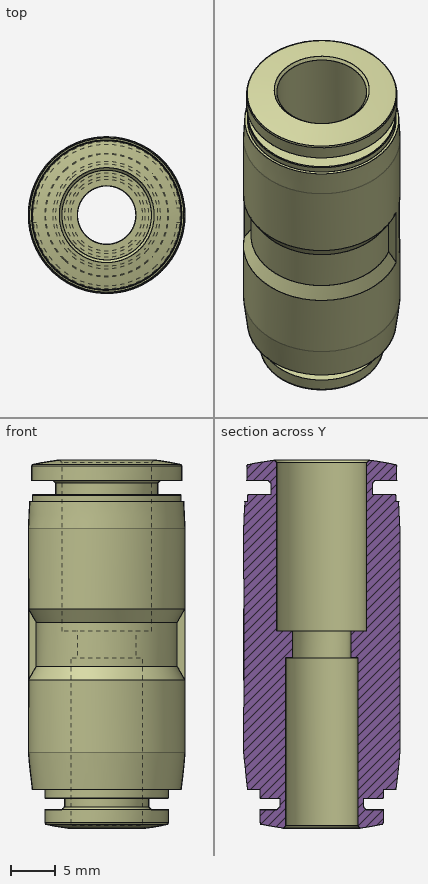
import cadquery as cq


housing_radius = 17.5 / 2
cylinder_top = 12.95
cylinder_bottom = -12.05
sleeve_radius = 17.2 / 2
sleeve_top = 15.95
cap_radius = 16.62 / 2
cap_top = 16.72
tail_radius = 16.62 / 2
tail_bottom = -16.2
tail_mid_radius = 17.13 / 2
tail_mid_height = (cylinder_bottom + tail_bottom) / 2
tail_ring_radius = 13.8 / 2
tail_ring_bottom = -17.2
edge_chamfer = 0.09

groove_radius = 15.8 / 2
groove_height = 7.9
groove_floor_height = 4.9
rib_width = 1.6
groove_cutter_clearance = 1.0

overall_length = 41.1
upper_end = 20.58
lower_end = upper_end - overall_length
neck_flare = 0.3

upper_flange_radius = 16.8 / 2
upper_neck_radius = 11.4 / 2
upper_flange_depth = 2.3
upper_crown_drop = 0.52
upper_mouth_radius = 10.6 / 2

lower_flange_radius = 13.8 / 2
lower_neck_radius = 9.4 / 2
lower_flange_depth = 2.1
lower_crown_drop = 0.45
lower_mouth_radius = 8.6 / 2

crown_bulge = 0.04

upper_tube_radius = 10.0 / 2
lower_tube_radius = 8.0 / 2
passage_radius = 6.5 / 2
stop_wall_half = 1.5


def revolve_outline(outline):
    """Close an XZ half outline and turn it about the Z axis."""
    return outline.close().revolve(360, (0, 0, 0), (0, 1, 0))


def make_housing():
    outline = (
        cq.Workplane("XZ")
        .moveTo(0, tail_ring_bottom)
        .lineTo(tail_ring_radius - edge_chamfer, tail_ring_bottom)
        .lineTo(tail_ring_radius, tail_ring_bottom + edge_chamfer)
        .lineTo(tail_ring_radius, tail_bottom)
        .lineTo(tail_radius, tail_bottom)
        .threePointArc((tail_mid_radius, tail_mid_height), (housing_radius, cylinder_bottom))
        .lineTo(housing_radius, cylinder_top)
        .lineTo(sleeve_radius, sleeve_top)
        .lineTo(cap_radius, sleeve_top)
        .lineTo(cap_radius, cap_top - edge_chamfer)
        .lineTo(cap_radius - edge_chamfer, cap_top)
        .lineTo(0, cap_top)
    )
    return revolve_outline(outline)


def make_groove_cutter():
    """Ring with sloped flanks, split by the two ribs on the X axis."""
    cutter_radius = housing_radius + groove_cutter_clearance
    outer_half = groove_height / 2
    floor_half = groove_floor_height / 2
    outline = (
        cq.Workplane("XZ")
        .moveTo(groove_radius, -floor_half)
        .lineTo(housing_radius, -outer_half)
        .lineTo(cutter_radius, -outer_half)
        .lineTo(cutter_radius, outer_half)
        .lineTo(housing_radius, outer_half)
        .lineTo(groove_radius, floor_half)
    )
    ribs = cq.Workplane("XY").box(2 * cutter_radius, rib_width, groove_height)
    return revolve_outline(outline).cut(ribs)


def make_collet(end, direction, flange_radius, neck_radius, flange_depth, crown_drop, mouth_radius):
    """Flanged collet whose end face looks along direction (+1 up, -1 down)."""

    def inward(distance):
        return end - direction * distance

    rim_radius = flange_radius - edge_chamfer
    crown_mid = ((mouth_radius + rim_radius) / 2, inward(crown_drop / 2 - crown_bulge))
    outline = (
        cq.Workplane("XZ")
        .moveTo(0, inward(0))
        .lineTo(mouth_radius, inward(0))
        .threePointArc(crown_mid, (rim_radius, inward(crown_drop)))
        .lineTo(flange_radius, inward(crown_drop + 2 * edge_chamfer))
        .lineTo(flange_radius, inward(flange_depth))
        .lineTo(neck_radius + neck_flare, inward(flange_depth))
        .lineTo(neck_radius, inward(flange_depth + neck_flare))
        .lineTo(neck_radius, 0)
        .lineTo(0, 0)
    )
    return revolve_outline(outline)


def make_socket(end, direction, tube_radius, mouth_radius):
    """Tube socket with a chamfered mouth, ending at the stop wall."""
    mouth_chamfer = mouth_radius - tube_radius
    stop = direction * stop_wall_half
    outline = (
        cq.Workplane("XZ")
        .moveTo(0, stop)
        .lineTo(tube_radius, stop)
        .lineTo(tube_radius, end - direction * mouth_chamfer)
        .lineTo(mouth_radius, end)
        .lineTo(0, end)
    )
    return revolve_outline(outline)


def make_passage():
    return cq.Workplane("XY").circle(passage_radius).extrude(overall_length, both=True)


upper_collet = make_collet(
    upper_end, 1, upper_flange_radius, upper_neck_radius,
    upper_flange_depth, upper_crown_drop, upper_mouth_radius,
)
lower_collet = make_collet(
    lower_end, -1, lower_flange_radius, lower_neck_radius,
    lower_flange_depth, lower_crown_drop, lower_mouth_radius,
)

body = make_housing().cut(make_groove_cutter())
body = body.union(upper_collet).union(lower_collet)
body = body.cut(make_socket(upper_end, 1, upper_tube_radius, upper_mouth_radius))
body = body.cut(make_socket(lower_end, -1, lower_tube_radius, lower_mouth_radius))
result = body.cut(make_passage())